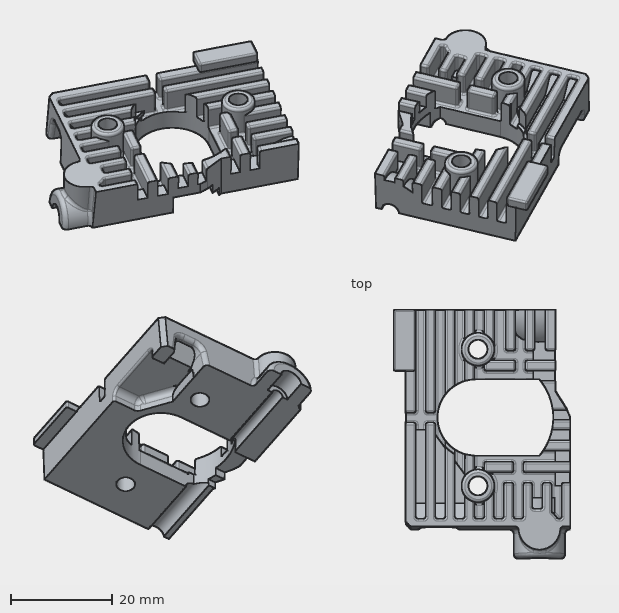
import cadquery as cq
body_height = 9.0
body_depth = 42.85
wide_x = 32.64
narrow_x = 29.68
shoulder_front_y = 21.6
shoulder_mid = (31.95, 23.2)
shoulder_back_y = 26.8
side_draft = 0.16
front_draft = 0.7
front_slope = front_draft / body_height
corner_chamfer = 1.0

floor_z = 4.1
slot_width = 1.93
slot_pitch = 3.86
first_slot_x = 3.04
slot_front_y = 1.5
edge_round = 0.45
floor_round = 0.43
over = 5.0

opening_center_y = 21.5
opening_half_width = 7.53
opening_arc_x = 13.9
opening_corner_x = 26.5
opening_right_x = 29.22
fin_setback = 0.8

boss_x = 14.35
boss_ys = (8.0, 35.0)
boss_radius = 3.25
boss_top = 10.4
boss_hole_radius = 1.85
boss_round = 0.6
boss_root = 0.6

tab_length_x = 4.34
tab_min_x = -2.34
tab_max_x = tab_min_x + tab_length_x
tab_front_y = 30.7
tab_bottom = 8.8
tab_top = 10.85
tab_side_round = 0.4
tab_top_round = 0.38

shaft_x = 26.5
pad_radius = 4.1
pad_center_y = -0.5
tube_radius = 5.1
tube_front_y = -6.46
tube_back_y = 5.6
tube_round = 1.0
neck_round = 0.8
shaft_radius = 1.2
counterbore_radius = 2.3
counterbore_depth = 5.0
shaft_channel_radius = 1.8
dome_radius = 7.9

notch_front_y = 3.7
notch_back_y = 17.4
pocket_right_x = 10.1
pocket_ceiling_z = 3.0
arch_ceiling_z = 5.5
notch_round = 0.5
arch_round = 0.9

pocket_floor_z = 5.0
back_floor_z = 4.6
right_floor_z = 5.0
right_fin_floor_z = 6.0
ramp_max_x = 11.8
ramp_back_y = 4.55
ramp_top = 8.2


def box(x0, x1, y0, y1, z0, z1):
    """Box between two corners."""
    return cq.Workplane("XY").box(x1 - x0, y1 - y0, z1 - z0, centered=False).translate((x0, y0, z0))


def round_edges_in(solid, low, high, radius):
    """Fillet the edges whose middle lies between two corners."""
    return solid.edges(cq.selectors.BoxSelector(low, high)).fillet(radius)


def y_cylinder(radius, y0, y1):
    """Cylinder along Y on the shaft axis."""
    return cq.Workplane("XZ", origin=(shaft_x, y0, 0)).circle(radius).extrude(y0 - y1)


def body_outline(inset, front_y):
    return [
        (inset, front_y + corner_chamfer),
        (inset + corner_chamfer, front_y),
        (wide_x - inset, front_y),
        (wide_x - inset, shoulder_front_y),
        (shoulder_mid[0] - inset, shoulder_mid[1]),
        (narrow_x - inset, shoulder_back_y),
        (narrow_x - inset, body_depth - inset),
        (inset, body_depth - inset),
    ]


def make_body():
    bottom = cq.Workplane("XY").polyline(body_outline(side_draft, -front_draft)).close()
    top = bottom.workplane(offset=body_height).polyline(body_outline(0, 0)).close()
    return top.loft(ruled=True, combine=True)


def make_pad():
    return cq.Workplane("XY").center(shaft_x, pad_center_y).circle(pad_radius).extrude(body_height)


def make_tube():
    """Tube around the shaft, its front face leaning like the front wall."""
    side_profile = [
        (tube_front_y, 0),
        (tube_back_y, 0),
        (tube_back_y, body_height),
        (tube_front_y + front_slope * body_height, body_height),
    ]
    envelope = (
        cq.Workplane("YZ", origin=(shaft_x - 2 * tube_radius, 0, 0))
        .polyline(side_profile)
        .close()
        .extrude(4 * tube_radius)
    )
    tube = y_cylinder(tube_radius, tube_front_y, tube_back_y).intersect(envelope)
    return tube.faces("<Y").edges("not <Z").fillet(tube_round)


def make_corner_pocket():
    """Pocket under the front-left corner, open to the left and to the front."""
    notch = box(-over, pocket_right_x, notch_front_y, notch_back_y, -over, pocket_ceiling_z)
    notch = notch.edges("|X and >Z").fillet(1.4)
    plan = (
        cq.Workplane("XY")
        .polyline([(-over, 0), (-over, 18), (5.2, 18), (10.7, 10.5), (10.7, 0)])
        .close()
        .extrude(body_height)
    )
    notch = round_edges_in(notch.intersect(plan), (7, 13, 2.9), (9, 15, 3.1), 1.3)
    arch = (
        cq.Workplane("XZ", origin=(0, -over, 0))
        .polyline([(3.1, 0), (3.8, arch_ceiling_z), (9.4, arch_ceiling_z), (pocket_right_x, 0)])
        .close()
        .extrude(-15)
        .edges("|Y and >Z")
        .fillet(1.8)
    )
    slope_profile = [
        (-over, 0),
        (-over, arch_ceiling_z),
        (1.3, arch_ceiling_z),
        (4.0, pocket_ceiling_z),
        (10, pocket_ceiling_z),
        (10, 0),
    ]
    slope = cq.Workplane("YZ").polyline(slope_profile).close().extrude(20)
    return notch.union(arch.intersect(slope))


def make_block():
    """Body with the pad and tube blended into the front wall and the corner pocket cut."""
    block = make_body().union(make_pad()).union(make_tube())
    block = round_edges_in(block, (20, -5, 0.5), (32, 0.05, body_height - 0.05), neck_round)
    block = block.cut(make_corner_pocket())
    block = round_edges_in(block, (-0.1, 3, 0.1), (0.3, 18, 3.2), notch_round)
    return round_edges_in(block, (2.5, -0.8, 0.1), (11, -0.1, 5.8), arch_round)


def channel(x0, x1, y0, y1):
    return box(x0, x1, y0, y1, floor_z, body_height)


def long_slot(index, y0, y1):
    center = first_slot_x + index * slot_pitch
    return channel(center - slot_width / 2, center + slot_width / 2, y0, y1)


def make_channels():
    """All channels between the fins, with rounded corners and floors."""
    back = body_depth + over
    right = wide_x + over
    lower_cross = (8.64, 10.68)
    upper_cross = (32.84, 34.74)
    slots = [long_slot(i, slot_front_y, back) for i in range(4)]
    slots += [
        long_slot(4, slot_front_y, lower_cross[1]),
        long_slot(5, slot_front_y, 18),
        channel(25.08, 27.1, 3.45, lower_cross[1]),
        channel(28.9, 30.9, slot_front_y, lower_cross[1]).cut(make_pad()),
        channel(17.6, 19.8, upper_cross[0], back),
        channel(21.77, 23.67, 25, back),
        channel(25.55, 27.69, upper_cross[0], back),
        channel(boss_x, right, *lower_cross),
        channel(boss_x, right, *upper_cross),
        channel(13.7, right, 12.8, 14.93),
        channel(13.7, right, 28.82, 30.72),
        channel(25, right, 17.05, 19.1),
        channel(25, right, 21.08, 22.98),
        channel(-over, 10, 20.53, 22.46),
    ]
    channels = slots[0]
    for slot in slots[1:]:
        channels = channels.union(slot)
    return channels.edges("|Z").fillet(edge_round).faces("<Z").edges().fillet(floor_round)


def make_raised_floors():
    """Solids that stay standing inside the channels."""
    over_pocket = (
        cq.Workplane("XY")
        .polyline([(0, 0), (0, 19.1), (5.2, 19.1), (11.8, 10.2), (11.8, 0)])
        .close()
        .extrude(pocket_floor_z)
    )
    ramp_profile = [
        (0, 0),
        (0, ramp_top),
        (slot_front_y, ramp_top),
        (ramp_back_y, pocket_floor_z),
        (ramp_back_y, 0),
    ]
    ramp = cq.Workplane("YZ").polyline(ramp_profile).close().extrude(ramp_max_x)
    back = box(25.3, narrow_x, 28, body_depth, 0, back_floor_z)
    right = box(29.6, wide_x, 8, 16, 0, right_floor_z)
    right_fins = box(27, wide_x, 16, 25, 0, right_fin_floor_z)
    dome = (
        cq.Workplane("XY", origin=(shaft_x, body_depth, 0))
        .moveTo(0, -dome_radius)
        .radiusArc((dome_radius, 0), -dome_radius)
        .lineTo(dome_radius, over)
        .lineTo(0, over)
        .close()
        .revolve(360, (0, 0, 0), (0, 1, 0))
    )
    return [over_pocket, ramp, back, right, right_fins, dome, make_tube()]


def cut_channels(block, channels):
    """Cut the channels and round every top edge they leave inside the block outline."""
    outline = block.faces(">Z").wires().val()
    fins = block.cut(channels)
    inner_edges = [
        edge
        for edge in fins.faces(">Z").edges().vals()
        if outline.distance(cq.Vertex.makeVertex(*edge.positionAt(0.5).toTuple())) > 1e-3
    ]
    return cq.Workplane(fins.val().fillet(edge_round, inner_edges))


def make_opening():
    front = opening_center_y - opening_half_width
    back = opening_center_y + opening_half_width
    left = opening_arc_x - opening_half_width
    return (
        cq.Workplane("XY")
        .moveTo(opening_arc_x, front)
        .lineTo(opening_corner_x, front)
        .threePointArc((opening_right_x, opening_center_y), (opening_corner_x, back))
        .lineTo(opening_arc_x, back)
        .threePointArc((left, opening_center_y), (opening_arc_x, front))
        .close()
        .extrude(body_height)
    )


def make_fin_trim():
    """Sets the ends of two fins back from the round end of the opening."""
    disc = (
        cq.Workplane("XY", origin=(opening_arc_x, opening_center_y, pocket_floor_z))
        .circle(opening_half_width + fin_setback)
        .extrude(body_height)
    )
    return disc.intersect(box(7, 11.8, 12, 18, 0, body_height))


def make_bosses():
    top_radius = boss_radius - boss_round
    root_radius = boss_radius + boss_root
    boss = (
        cq.Workplane("XZ")
        .lineTo(root_radius, 0)
        .lineTo(root_radius, floor_z)
        .radiusArc((boss_radius, floor_z + boss_root), boss_root)
        .lineTo(boss_radius, boss_top - boss_round)
        .radiusArc((top_radius, boss_top), -boss_round)
        .lineTo(0, boss_top)
        .close()
        .revolve(360, (0, 0, 0), (0, 1, 0))
    )
    bosses = cq.Workplane("XY")
    for y in boss_ys:
        bosses = bosses.union(boss.translate((boss_x, y, 0)))
    return bosses


def make_boss_holes():
    centers = [(boss_x, y) for y in boss_ys]
    return cq.Workplane("XY").pushPoints(centers).circle(boss_hole_radius).extrude(boss_top)


def make_tab():
    tab = box(tab_min_x, tab_max_x, tab_front_y, body_depth, tab_bottom, tab_top)
    return tab.edges("|Z").fillet(tab_side_round).faces(">Z").edges().fillet(tab_top_round)


def make_right_notch():
    """Stepped gap under the wall right of the opening."""
    high = box(27.5, wide_x + over, 16, 24.6, -over, 3.8)
    low = box(27.5, wide_x + over, 16, 26.3, -over, 1.75)
    return high.union(low)


def make_shaft_cuts():
    """Shaft bore, its front counterbore and the wider channel behind the opening."""
    return [
        y_cylinder(shaft_radius, tube_front_y - over, body_depth + over),
        y_cylinder(counterbore_radius, tube_front_y - over, tube_front_y + counterbore_depth),
        y_cylinder(shaft_channel_radius, opening_center_y, body_depth + over),
    ]


channels = make_channels()
for raised_floor in make_raised_floors():
    channels = channels.cut(raised_floor)

result = cut_channels(make_block(), channels)
result = result.cut(make_opening()).cut(make_fin_trim())
result = result.union(make_bosses()).union(make_tab())
result = result.cut(make_boss_holes()).cut(make_right_notch())
for shaft_cut in make_shaft_cuts():
    result = result.cut(shaft_cut)